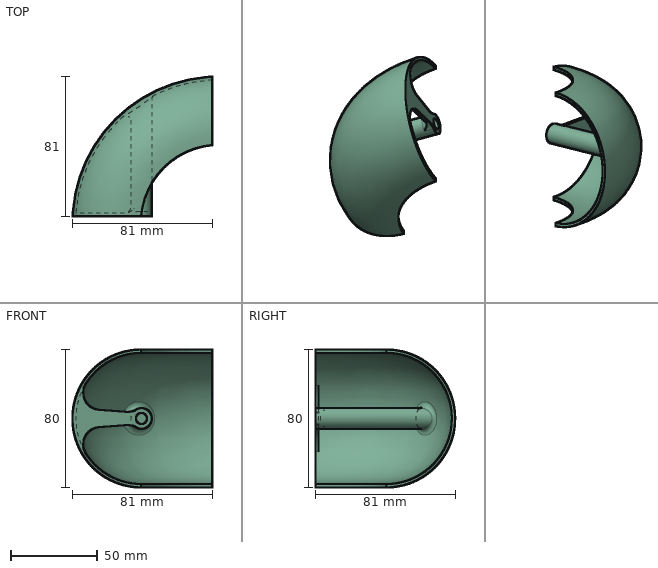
import cadquery as cq
import math

BEND_RADIUS = 45.0
TUBE_RADIUS = 40.0
WALL = 2.0
BORE_RADIUS = TUBE_RADIUS - WALL
WALL_MIDDLE_RADIUS = TUBE_RADIUS - WALL / 2
OPENING_RADIUS = 45.3
END_OFFSET = 3.92
OUTER_BEND_RADIUS = BEND_RADIUS + TUBE_RADIUS
OUTER_REACH = math.sqrt(OUTER_BEND_RADIUS**2 - END_OFFSET**2)

POST_X = TUBE_RADIUS - OUTER_REACH
POST_RADIUS = 6.0
ROOT_FILLET = 3.0
COLLAR_FILLET = 4.0
HOLE_RADIUS = 3.2
HOLE_DEPTH = 3.0

RIB_THICKNESS = 2.0
RIB_HALF_WIDTH_AT_POST = 3.2
RIB_HALF_WIDTH_AT_WALL = 6.0
RIB_CORNER_RADIUS = 10.0


def front_plane():
    """Front face plane centred on the post, extruding towards +Y; local x is -X, local y is +Z."""
    plane = cq.Plane(origin=(POST_X, END_OFFSET, 0), xDir=(-1, 0, 0), normal=(0, 1, 0))
    return cq.Workplane(plane)


def bent_half_tube():
    """Half ring section turned about the Z axis and trimmed by the two end faces."""
    opening_shift = OPENING_RADIUS - BEND_RADIUS
    rim_height = math.sqrt(TUBE_RADIUS**2 - opening_shift**2)
    bore_rim_height = math.sqrt(BORE_RADIUS**2 - opening_shift**2)
    ring = (
        cq.Workplane("XZ")
        .moveTo(-OPENING_RADIUS, rim_height)
        .threePointArc((-OUTER_BEND_RADIUS, 0), (-OPENING_RADIUS, -rim_height))
        .lineTo(-OPENING_RADIUS, -bore_rim_height)
        .threePointArc((-BEND_RADIUS - BORE_RADIUS, 0), (-OPENING_RADIUS, bore_rim_height))
        .close()
        .revolve(90, (0, 0), (0, -1))
    )
    quarter = cq.Workplane("XY").box(
        OUTER_BEND_RADIUS, OUTER_BEND_RADIUS, 2 * TUBE_RADIUS + WALL, centered=(False, False, True)
    )
    return ring.intersect(quarter.translate((-END_OFFSET - OUTER_BEND_RADIUS, END_OFFSET, 0)))


def rib_outline_points():
    """Upper half of the rib outline: (start, middle, end) of the post arc and of the wall arc."""
    taper = math.atan((RIB_HALF_WIDTH_AT_WALL - RIB_HALF_WIDTH_AT_POST) / BORE_RADIUS)
    edge_distance = RIB_HALF_WIDTH_AT_POST * math.cos(taper)
    centre_height = edge_distance + RIB_CORNER_RADIUS

    def from_edge_frame(along, across):
        """Turn a point measured along and across the tapered edge into the front plane."""
        return (
            along * math.cos(taper) - across * math.sin(taper),
            along * math.sin(taper) + across * math.cos(taper),
        )

    def corner_arc(centre_distance, touch_radius):
        """Arc tangent to the tapered edge and to a circle about the post axis."""
        centre_along = math.sqrt(centre_distance**2 - centre_height**2)
        scale = touch_radius / centre_distance
        touch = (centre_along * scale, centre_height * scale)
        foot = (centre_along, edge_distance)
        chord_middle = ((touch[0] + foot[0]) / 2, (touch[1] + foot[1]) / 2)
        offset = (chord_middle[0] - centre_along, chord_middle[1] - centre_height)
        stretch = RIB_CORNER_RADIUS / math.hypot(*offset)
        middle = (centre_along + offset[0] * stretch, centre_height + offset[1] * stretch)
        return [from_edge_frame(*point) for point in (touch, middle, foot)]

    post_arc = corner_arc(POST_RADIUS + RIB_CORNER_RADIUS, POST_RADIUS)
    wall_touch, wall_middle, wall_foot = corner_arc(BORE_RADIUS - RIB_CORNER_RADIUS, BORE_RADIUS)
    return post_arc, [wall_foot, wall_middle, wall_touch]


def rib_prism(depth):
    """Rib outline from the post axis into the middle of the shell wall, extruded by depth."""
    post_arc, wall_arc = rib_outline_points()
    into_wall = WALL_MIDDLE_RADIUS / BORE_RADIUS
    wall_end = (wall_arc[2][0] * into_wall, wall_arc[2][1] * into_wall)

    def mirrored(point):
        return (point[0], -point[1])

    outline = (
        front_plane()
        .moveTo(0, 0)
        .lineTo(*post_arc[0])
        .threePointArc(post_arc[1], post_arc[2])
        .lineTo(*wall_arc[0])
        .threePointArc(wall_arc[1], wall_arc[2])
        .lineTo(*wall_end)
        .threePointArc((WALL_MIDDLE_RADIUS, 0), mirrored(wall_end))
        .lineTo(*mirrored(wall_arc[2]))
        .threePointArc(mirrored(wall_arc[1]), mirrored(wall_arc[0]))
        .lineTo(*mirrored(post_arc[2]))
        .threePointArc(mirrored(post_arc[1]), mirrored(post_arc[0]))
        .close()
    )
    return outline.extrude(depth)


def rib_to_post_fillet():
    """Concave collar around the post behind the rib, trimmed to the rib outline."""
    collar_depth = RIB_THICKNESS + COLLAR_FILLET
    collar_radius = POST_RADIUS + COLLAR_FILLET
    arc_reach = COLLAR_FILLET * (1 - math.sqrt(0.5))
    collar = (
        cq.Workplane("XY", origin=(POST_X, END_OFFSET, 0))
        .lineTo(collar_radius, 0)
        .lineTo(collar_radius, RIB_THICKNESS)
        .threePointArc(
            (POST_RADIUS + arc_reach, RIB_THICKNESS + arc_reach),
            (POST_RADIUS, collar_depth),
        )
        .lineTo(0, collar_depth)
        .close()
        .revolve(360, (0, 0), (0, 1))
    )
    return collar.intersect(rib_prism(collar_depth))


def shell_with_post():
    """Shell and post, with a fillet where the post meets the inside of the shell."""
    wall_middle_reach = BEND_RADIUS + WALL_MIDDLE_RADIUS
    inside_wall_middle = cq.Workplane("XY").cylinder(2 * TUBE_RADIUS, wall_middle_reach)
    post = front_plane().circle(POST_RADIUS).extrude(wall_middle_reach).intersect(inside_wall_middle)
    body = bent_half_tube().union(post, clean=False)
    root_box = cq.selectors.BoxSelector(
        (POST_X - 2 * POST_RADIUS, wall_middle_reach / 2, -2 * POST_RADIUS),
        (POST_X + 2 * POST_RADIUS, OUTER_BEND_RADIUS, 2 * POST_RADIUS),
        boundingbox=True,
    )
    return body.edges(root_box).fillet(ROOT_FILLET)


def post_hole():
    """Blind hole in the front end of the post."""
    return front_plane().circle(HOLE_RADIUS).extrude(HOLE_DEPTH)


result = (
    shell_with_post()
    .union(rib_prism(RIB_THICKNESS))
    .union(rib_to_post_fillet())
    .cut(post_hole())
)